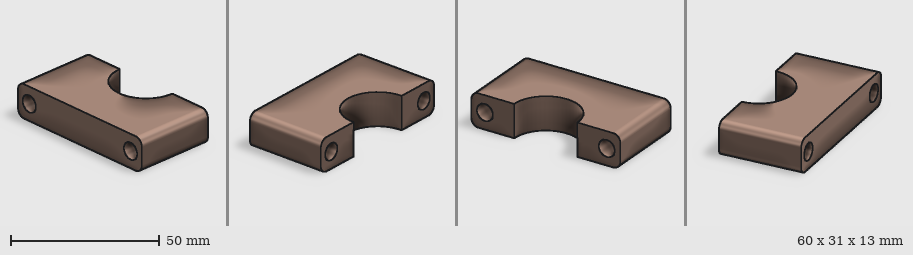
import cadquery as cq

length = 60.0
depth = 31.03
height = 13.0
edge_radius = 3.0

saddle_diameter = 25.4

bolt_hole_diameter = 6.4
bolt_hole_spacing = 49.0


def make_block():
    """Block centred in X and Z, with its four front-to-back edges rounded."""
    block = cq.Workplane("XY").box(length, depth, height)
    return block.translate((0, -depth / 2, 0)).edges("|Y").fillet(edge_radius)


def make_saddle():
    """Vertical cylinder centred on the back face."""
    return cq.Workplane("XY").cylinder(height, saddle_diameter / 2)


def make_bolt_holes():
    """Two cylinders through the full depth, at mid height near each end."""
    return (
        cq.Workplane("XZ")
        .rarray(bolt_hole_spacing, 1, 2, 1)
        .circle(bolt_hole_diameter / 2)
        .extrude(depth)
    )


result = make_block().cut(make_saddle()).cut(make_bolt_holes())